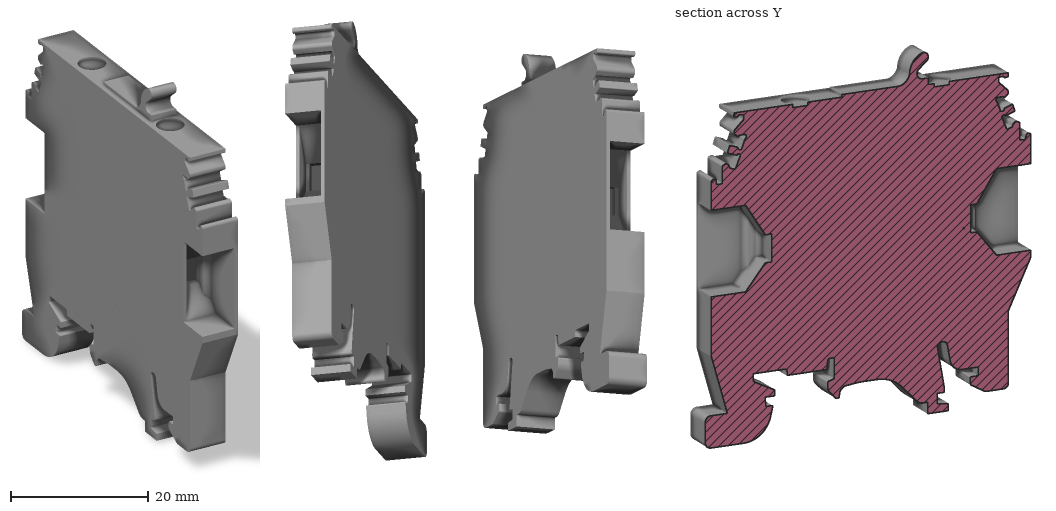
import cadquery as cq
import math


thickness = 6.0
width = 53.0
body_top = 50.75
overall_height = 55.75
axis_x = 27.0
half_width = width - axis_x
back_web = 0.2

entry_depth = 5.6
entry_bottom = 23.15
entry_top = 36.3
entry_wall = 0.57
funnel_depth = 3.2
funnel_rise = 4.0
funnel_drop = 4.95
funnel_straight = 1.35
funnel_turn = 0.65
funnel_step = 0.97
clamp_near_y = 1.15
clamp_far_y = 4.3
clamp_depth = 1.0

screw_diameter = 4.2
screw_depth = 0.5
screw_offset = 11.5
screw_y = 2.9

lever_width = 4.2
lever_centre_y = 3.1
lever_left = 22.2
lever_right = 36.32
lever_plate_top = 51.15
lever_jaw_base = 51.75
jaw_start = (34.8, 53.3)
jaw_middle = (34.5, 52.5)
jaw_end = (35.3, lever_jaw_base)
tip_radius = 0.82
neck_foot_x = 31.6
neck_foot_middle = (32.7, 51.75)
neck_x = 33.2
neck_z = 52.65
tip_x = lever_right - tip_radius
tip_z = overall_height - tip_radius


def rounded_outline(corners):
    """Closed XZ outline from (x, z, corner radius) triples."""
    pieces = []
    for i, (x, z, radius) in enumerate(corners):
        before = corners[i - 1]
        after = corners[(i + 1) % len(corners)]
        to_before = cq.Vector(before[0] - x, before[1] - z, 0).normalized()
        to_after = cq.Vector(after[0] - x, after[1] - z, 0).normalized()
        corner = cq.Vector(x, z, 0)
        if radius == 0:
            pieces.append((corner, None, corner))
            continue
        half_angle = to_before.getAngle(to_after) / 2
        tangent_length = radius / math.tan(half_angle)
        bisector = (to_before + to_after).normalized()
        middle = corner + bisector * (radius / math.sin(half_angle) - radius)
        pieces.append((corner + to_before * tangent_length, middle, corner + to_after * tangent_length))

    outline = cq.Workplane("XZ").moveTo(pieces[0][2].x, pieces[0][2].y)
    for start, middle, end in pieces[1:] + pieces[:1]:
        outline = outline.lineTo(start.x, start.y)
        if middle is not None:
            outline = outline.threePointArc((middle.x, middle.y), (end.x, end.y))
    return outline.close()


def extrude_between(outline, y_start, y_end):
    """Extrude an XZ outline from y_start to y_end."""
    return outline.extrude(-(y_end - y_start)).translate((0, y_start, 0))


shoulder = [
    (22.3, body_top, 0),
    (22.35, 50.1, 0.2),
    (21.75, 50.0, 0.1),
    (21.45, 50.25, 0),
    (20.75, 50.2, 0.2),
    (20.75, 49.5, 0.25),
    (22.3, 48.0, 0.5),
    (22.3, 47.45, 0.4),
    (21.5, 46.9, 0),
    (20.6, 46.3, 0.1),
    (21.1, 44.95, 0.2),
    (21.5, 45.05, 0.15),
    (21.65, 45.4, 0.1),
    (23.0, 45.9, 0.1),
    (23.4, 44.7, 0.1),
    (21.8, 44.15, 0.1),
    (21.65, 44.35, 0.1),
    (21.25, 44.2, 0.1),
    (21.75, 42.9, 0),
    (23.1, 42.9, 0),
    (23.55, 43.2, 0.4),
    (24.2, 42.9, 0.3),
    (24.2, 40.2, 0.1),
    (25.1, 40.2, 0.1),
    (25.15, 41.05, 0.4),
    (half_width, 41.1, 0.45),
]

underside = [
    (width, 22.1, 0),
    (49.35, 14.4, 0),
    (49.35, 2.5, 0.9),
    (45.55, 2.5, 0.3),
    (43.1, 3.9, 0.3),
    (43.1, 5.15, 0.2),
    (44.35, 5.15, 0),
    (44.35, 6.4, 0),
    (40.1, 6.4, 2.0),
    (39.25, 11.05, 0.7),
    (37.7, 11.05, 0.6),
    (38.95, 3.9, 0),
    (38.95, 3.3, 0.3),
    (37.8, 3.3, 0),
    (37.8, 1.75, 0),
    (39.6, 1.55, 0),
    (39.6, 0.4, 0),
    (36.2, 0.4, 0),
    (36.2, 2.15, 0.15),
    (34.8, 2.15, 1.5),
    (30.4, 6.75, 5.5),
    (25.0, 6.75, 10.0),
    (21.9, 6.4, 1.2),
    (21.9, 4.2, 0.4),
    (19.9, 6.2, 1.5),
    (19.9, 7.6, 0.3),
    (21.0, 7.9, 0),
    (21.0, 11.05, 0.1),
    (20.0, 11.05, 0.4),
    (19.85, 9.4, 0),
    (13.3, 9.4, 0),
    (13.3, 10.4, 0.4),
    (7.9, 10.4, 0.1),
    (7.9, 9.25, 0.3),
    (11.4, 7.5, 0.1),
    (11.4, 6.55, 0),
    (9.8, 6.55, 0.1),
    (9.95, 5.2, 0),
    (11.1, 5.2, 0.2),
    (9.9, 0, 4.6),
    (0, 0, 1.0),
    (0, 5.0, 1.0),
    (3.6, 5.0, 0),
    (axis_x - half_width, 14.0, 0),
]

upper_undercut = [
    (21.5, 47.15, 0),
    (20.3, 47.15, 0.3),
    (20.3, 46.8, 0),
    (20.6, 46.3, 0),
    (21.5, 46.9, 0),
]
lower_undercut = [
    (21.75, 42.9, 0),
    (22.1, 42.1, 0.2),
    (22.9, 42.4, 0.2),
    (23.1, 42.9, 0),
]


def on_right(corners):
    """Corners measured from the symmetry axis, placed on the right side."""
    return [(axis_x + distance, z, radius) for distance, z, radius in corners]


def on_left(corners):
    """Corners measured from the symmetry axis, placed on the left side in reverse order."""
    return [(axis_x - distance, z, radius) for distance, z, radius in reversed(corners)]


def mirror_to_right(solid):
    """Mirror a solid about the symmetry axis of the upper half."""
    return solid.mirror("YZ", (axis_x, 0, 0))


def make_housing():
    outline = rounded_outline(on_right(shoulder) + underside + on_left(shoulder))
    housing = extrude_between(outline, 0, thickness)
    for undercut in (upper_undercut, lower_undercut):
        for corners in (on_right(undercut), on_left(undercut)):
            housing = housing.cut(extrude_between(rounded_outline(corners), 0, thickness - back_web))
    return housing


def make_wire_entry():
    """Cavity of the left wire entry: open recess, funnel and clamp opening."""
    outer_x = axis_x - half_width
    funnel_start = outer_x + entry_depth
    funnel_end = funnel_start + funnel_depth
    turn_start = funnel_start + funnel_straight
    turn_end = turn_start + funnel_turn
    far_y = thickness - entry_wall
    clamp_bottom = entry_bottom + funnel_rise
    clamp_top = entry_top - funnel_drop

    recess = cq.Workplane("XY").box(
        entry_depth, far_y, entry_top - entry_bottom, centered=False
    ).translate((outer_x, 0, entry_bottom))

    funnel_side = cq.Workplane("XZ").polyline([
        (funnel_start, entry_bottom),
        (funnel_end, clamp_bottom),
        (funnel_end, clamp_top),
        (funnel_start, entry_top),
    ]).close()
    funnel_plan = cq.Workplane("XY").polyline([
        (funnel_start, entry_wall),
        (funnel_end, entry_wall),
        (funnel_end, far_y - funnel_step),
        (turn_end, far_y - funnel_step),
        (turn_start, far_y),
        (funnel_start, far_y),
    ]).close().extrude(body_top)
    funnel = extrude_between(funnel_side, 0, thickness).intersect(funnel_plan)

    clamp_opening = cq.Workplane("XY").box(
        clamp_depth, clamp_far_y - clamp_near_y, clamp_top - clamp_bottom, centered=False
    ).translate((funnel_end, clamp_near_y, clamp_bottom))
    return recess.union(funnel).union(clamp_opening)


def make_screw_recesses():
    return (
        cq.Workplane("XY", origin=(axis_x, screw_y, body_top))
        .pushPoints([(-screw_offset, 0), (screw_offset, 0)])
        .circle(screw_diameter / 2)
        .extrude(-screw_depth)
    )


def make_lever():
    diagonal = tip_radius * math.sqrt(0.5)
    reach = tip_x - neck_x
    rise = tip_z - neck_z
    arm_radius = (reach**2 + rise**2 - tip_radius**2) / (2 * (reach - tip_radius))
    arm_centre_x = neck_x + arm_radius
    arm_angle = math.atan2(rise, arm_centre_x - tip_x)

    def on_arm(angle):
        return (arm_centre_x - arm_radius * math.cos(angle), neck_z + arm_radius * math.sin(angle))

    sunk_z = body_top - screw_depth
    outline = (
        cq.Workplane("XZ")
        .moveTo(lever_left, sunk_z)
        .lineTo(lever_left, lever_plate_top)
        .lineTo(neck_foot_x, lever_plate_top)
        .threePointArc(neck_foot_middle, (neck_x, neck_z))
        .threePointArc(on_arm(arm_angle / 2), on_arm(arm_angle))
        .threePointArc((tip_x + diagonal, tip_z + diagonal), (tip_x + diagonal, tip_z - diagonal))
        .lineTo(*jaw_start)
        .threePointArc(jaw_middle, jaw_end)
        .lineTo(lever_right, lever_jaw_base)
        .lineTo(lever_right, sunk_z)
        .close()
    )
    near_y = lever_centre_y - lever_width / 2
    return extrude_between(outline, near_y, near_y + lever_width)


wire_entry = make_wire_entry()
result = (
    make_housing()
    .cut(wire_entry)
    .cut(mirror_to_right(wire_entry))
    .cut(make_screw_recesses())
    .union(make_lever())
)